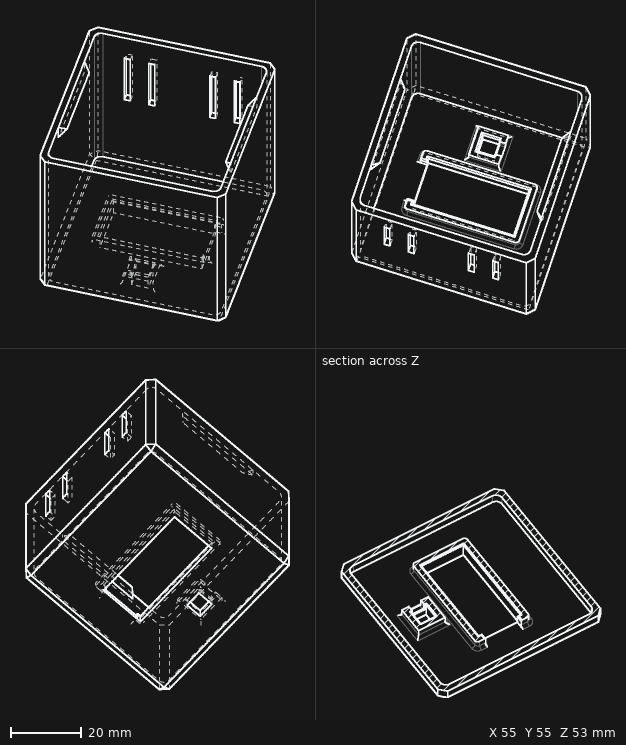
import cadquery as cq

side = 55.0
height = 53.0
wall = 2.0
floor = 2.0
edge_chamfer = 2.0
cavity_radius = 2.0
cavity_side = side - 2 * wall

collar_wall = 2.0
collar_height = 3.0
collar_fillet = 1.0
rim_chamfer = 0.5
collar_top = floor + collar_height

window_x = 30.2
window_y = 14.2
window_collar_radius = 1.0
window_gap = 12.0

square_side = 5.0
square_y = -16.1
notch_width = 4.0
notch_fillet = 0.5
notch_side_bevel = 0.3
notch_sill = floor + collar_fillet

slot_width = 1.7
slot_height = 17.0
slot_top_gap = 8.5
slot_offsets = (9.0, 16.25)

ridge_length = 27.0
ridge_depth = 2.0
ridge_tip_thickness = 0.01

overlap = 1.0
margin = 0.1


def block(size_x, size_y, z_low, z_high, center_x=0.0, center_y=0.0):
    """Upright rectangular block between two heights."""
    return (
        cq.Workplane("XY", origin=(center_x, center_y, z_low))
        .rect(size_x, size_y)
        .extrude(z_high - z_low)
    )


def make_shell():
    """Open-topped box with chamfered outside edges and rounded inside corners."""
    outside = block(side, side, 0, height).edges("|Z or <Z").chamfer(edge_chamfer)
    cavity = block(cavity_side, cavity_side, floor, height + overlap)
    return outside.cut(cavity.edges("|Z").fillet(cavity_radius))


def add_collar(body, opening_x, opening_y, center_y, corner_radius=0.0):
    """Raise a solid boss from the floor and blend its foot with a concave fillet."""
    size_x = opening_x + 2 * collar_wall
    size_y = opening_y + 2 * collar_wall
    boss = block(size_x, size_y, floor - overlap, collar_top, center_y=center_y)
    if corner_radius > 0:
        boss = boss.edges("|Z").fillet(corner_radius)
    foot = cq.selectors.BoxSelector(
        (-size_x / 2 - margin, center_y - size_y / 2 - margin, floor - margin),
        (size_x / 2 + margin, center_y + size_y / 2 + margin, floor + margin),
    )
    return body.union(boss).edges(foot).fillet(collar_fillet)


def bevel_cutter(size_x, size_y, z_top, center_x, center_y, left_bevel=rim_chamfer):
    """Tapered cutter that chamfers the rim of a rectangular opening; its -X side may differ."""
    shift = (rim_chamfer - left_bevel) / 2
    return (
        cq.Workplane("XY", origin=(center_x, center_y, z_top))
        .center(shift, 0)
        .rect(size_x + rim_chamfer + left_bevel, size_y + 2 * rim_chamfer)
        .workplane(offset=-rim_chamfer)
        .center(-shift, 0)
        .rect(size_x, size_y)
        .loft(ruled=True)
    )


def cut_opening(body, size_x, size_y, center_y):
    """Cut an opening straight through collar and floor."""
    return body.cut(block(size_x, size_y, -overlap, collar_top + overlap, center_y=center_y))


def cut_window(body):
    """Cut the bevelled window and open its collar down to the floor on the +X side."""
    length = collar_wall + 2 * collar_fillet
    center_x = (window_x + length) / 2
    gap = block(length, window_gap, floor, collar_top + overlap, center_x)
    body = cut_opening(body, window_x, window_y, 0).cut(gap)
    body = body.cut(bevel_cutter(window_x, window_y, collar_top, 0, 0))
    return body.cut(bevel_cutter(length, window_gap, collar_top, center_x, 0))


def cut_square(body):
    """Cut the bevelled square opening and a round-bottomed notch in its collar's -X side."""
    length = collar_wall + overlap
    notch = block(
        length,
        notch_width,
        notch_sill,
        collar_top + overlap,
        -(square_side + length) / 2,
        square_y,
    )
    notch = notch.faces("<Z").edges("|X").fillet(notch_fillet)
    body = cut_opening(body, square_side, square_side, square_y).cut(notch)
    body = body.cut(
        bevel_cutter(square_side, square_side, collar_top, 0, square_y, notch_side_bevel)
    )
    sill_x = -square_side / 2
    sill_half_width = notch_width / 2 - notch_fillet
    sill_edge = cq.selectors.BoxSelector(
        (sill_x - margin, square_y - sill_half_width - margin, notch_sill - margin),
        (sill_x + margin, square_y + sill_half_width + margin, notch_sill + margin),
        boundingbox=True,
    )
    return body.edges(sill_edge).chamfer(notch_side_bevel)


def cut_rear_slots(body):
    """Cut two mirrored pairs of vertical slots through the +Y wall."""
    top = height - slot_top_gap
    wall_y = (side - wall) / 2
    for offset in slot_offsets:
        for center_x in (-offset, offset):
            slot = block(slot_width, 2 * wall, top - slot_height, top, center_x, wall_y)
            body = body.cut(slot)
    return body


def add_side_ridges(body):
    """Add V-shaped snap ridges with mitred ends inside both X walls."""
    ridge_height = 2 * ridge_depth
    middle_z = height - ridge_depth
    for direction in (-1, 1):
        ridge = (
            cq.Workplane("YZ", origin=(direction * cavity_side / 2, 0, middle_z))
            .rect(ridge_length, ridge_height)
            .workplane(offset=-direction * ridge_depth)
            .rect(ridge_length - 2 * ridge_depth, ridge_tip_thickness)
            .loft(ruled=True)
        )
        body = body.union(ridge)
    return body


result = make_shell()
result = add_collar(result, window_x, window_y, 0, window_collar_radius)
result = add_collar(result, square_side, square_side, square_y)
result = cut_window(result)
result = cut_square(result)
result = cut_rear_slots(result)
result = add_side_ridges(result)